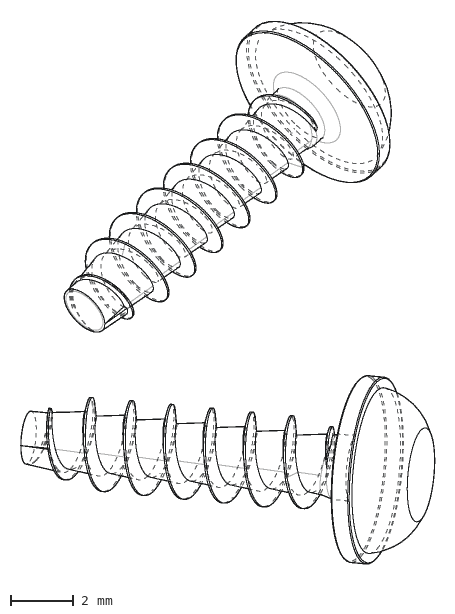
import cadquery as cq
import math

total_length = 13.1
head_height = 2.1
shank_length = total_length - head_height

flange_radius = 3.0
flange_thickness = 0.6
flange_edge = 0.04
dome_base_radius = 2.66
dome_top_radius = 1.5
dome_bulge = 0.24

neck_radius = 1.05
neck_fillet = 0.35
neck_length = 0.75
neck_taper_length = 0.68
core_radius = 0.85
ramp_low_radius = 0.88
ramp_high_radius = 1.02
tip_taper = 0.13
dish_radius = 0.77
dish_depth = 0.05

pitch = 1.34
crest_radius = 1.49
crest_width = 0.07
flank_slope = 0.3
thread_depth = 0.73
thread_start = 0.62
run_in_radius = 1.17
run_in_turns = 1.0
full_turns = 5.25
run_out_turns = 1.5
run_out_radius = 0.79
ramp_gap = 0.08
ramp_root_radius = 0.72
samples_per_turn = 24


def head_and_neck():
    """Domed flange head, filleted neck and its taper into the core, revolved about Y."""
    chord_height = head_height - flange_thickness
    chord_width = dome_base_radius - dome_top_radius
    chord = math.hypot(chord_width, chord_height)
    dome_middle = (
        (dome_base_radius + dome_top_radius) / 2 + dome_bulge * chord_height / chord,
        (head_height + flange_thickness) / 2 + dome_bulge * chord_width / chord,
    )
    fillet_middle_offset = neck_fillet * (1 - math.sqrt(0.5))
    outline = (
        cq.Workplane("XY")
        .moveTo(0, head_height)
        .lineTo(dome_top_radius, head_height)
        .threePointArc(dome_middle, (dome_base_radius, flange_thickness))
        .lineTo(flange_radius - flange_edge, flange_thickness)
        .lineTo(flange_radius, flange_thickness - flange_edge)
        .lineTo(flange_radius, flange_edge)
        .lineTo(flange_radius - flange_edge, 0)
        .lineTo(neck_radius + neck_fillet, 0)
        .threePointArc(
            (neck_radius + fillet_middle_offset, -fillet_middle_offset),
            (neck_radius, -neck_fillet),
        )
        .lineTo(neck_radius, -neck_length)
        .lineTo(core_radius, -neck_length - neck_taper_length)
        .lineTo(core_radius, -shank_length)
        .lineTo(0, -shank_length)
        .close()
    )
    return outline.revolve(360, (0, 0, 0), (0, 1, 0))


def helical_edge(start, turns, first_radius, last_radius, offset):
    """Right-handed helix about Z whose radius changes evenly along its length.

    The offset shifts it along Z without turning it about the axis.
    """
    steps = math.ceil(turns * samples_per_turn)
    points = []
    for step in range(steps + 1):
        share = step / steps
        height = start + share * turns * pitch
        angle = 2 * math.pi * (height - thread_start) / pitch
        radius = first_radius + share * (last_radius - first_radius)
        points.append(cq.Vector(radius * math.cos(angle), radius * math.sin(angle), height + offset))
    return cq.Edge.makeSpline(points)


def helical_solid(section, start, turns, first_radius, last_radius):
    """Solid traced by a section of (offset, depth below the leading radius) corners."""
    edges = [
        helical_edge(start, turns, first_radius - depth, last_radius - depth, offset)
        for offset, depth in section
    ]
    neighbours = edges[1:] + edges[:1]
    faces = [cq.Face.makeRuledSurface(a, b) for a, b in zip(edges, neighbours)]
    for end in (0, 1):
        corners = [edge.positionAt(end) for edge in edges]
        faces.append(cq.Face.makeFromWires(cq.Wire.makePolygon(corners, close=True)))
    solid = cq.Solid.makeSolid(cq.Shell.makeShell(faces))
    return cq.Workplane("XY").add(solid.fix())


def along_shank(body):
    """Turn a body built along +Z so that it runs along -Y."""
    return body.rotate((0, 0, 0), (1, 0, 0), 90)


def shank_envelope(tip_radius, slope):
    """Space from the neck to the tip, widening back from the tip."""
    length = shank_length - neck_length
    return (
        cq.Workplane("XY")
        .polyline([
            (0, -neck_length),
            (tip_radius + slope * length, -neck_length),
            (tip_radius, -shank_length),
            (0, -shank_length),
        ])
        .close()
        .revolve(360, (0, 0, 0), (0, 1, 0))
    )


def tip_dish():
    """Shallow spherical hollow in the tip face."""
    sphere_radius = (dish_radius**2 + dish_depth**2) / (2 * dish_depth)
    center_y = -shank_length + dish_depth - sphere_radius
    return cq.Workplane("XY").sphere(sphere_radius).translate((0, center_y, 0))


def core_ramp():
    """Core surface that narrows toward the tip between neighbouring thread turns."""
    root_depth = ramp_high_radius - ramp_root_radius
    section = [
        (ramp_gap, 0),
        (pitch - ramp_gap, ramp_high_radius - ramp_low_radius),
        (pitch - ramp_gap, root_depth),
        (ramp_gap, root_depth),
    ]
    turns = math.ceil((shank_length - thread_start) / pitch)
    envelope = shank_envelope(core_radius, tip_taper)
    bodies = []
    for turn in range(turns):
        start = thread_start + (turn - 1) * pitch
        body = helical_solid(section, start, 1, ramp_high_radius, ramp_high_radius)
        bodies.append(along_shank(body).intersect(envelope))
    return bodies


def thread():
    """Thread with a growing first turn, full turns and a fading end."""
    half_crest = crest_width / 2
    half_root = half_crest + flank_slope * thread_depth
    section = [
        (-half_crest, 0),
        (half_crest, 0),
        (half_root, thread_depth),
        (-half_root, thread_depth),
    ]
    stages = [
        (run_in_turns, run_in_radius, crest_radius),
        (full_turns, crest_radius, crest_radius),
        (run_out_turns, crest_radius, run_out_radius),
    ]
    start = thread_start
    bodies = []
    for turns, first_radius, last_radius in stages:
        body = helical_solid(section, start, turns, first_radius, last_radius)
        bodies.append(along_shank(body).intersect(shank_envelope(flange_radius, 0)))
        start += turns * pitch
    return bodies


result = head_and_neck()
for body in core_ramp() + thread():
    result = result.union(body)
result = result.cut(tip_dish())